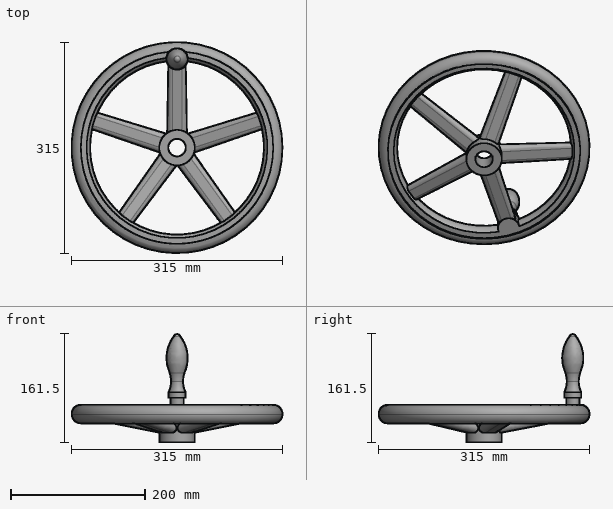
import cadquery as cq
import math

rim_radius = 157.5
rim_height = 28.0
recess_depth = 3.0
rim_bottom = 28.0
section_radius = rim_height / 2
section_centre_radius = rim_radius - section_radius
rim_middle = rim_bottom + section_radius
rim_top = rim_bottom + rim_height

hub_radius = 26.5
hub_height = 32.0
bore_radius = 13.0

spoke_count = 5
spoke_flat_width = 14.5
spoke_start = 15.8
spoke_end = 135.5
spoke_start_bottom = 12.3
spoke_start_height = 15.8
spoke_end_bottom = 35.3
spoke_end_height = 11.5

handle_y = 132.3
boss_radius = 16.0
shank_radius = 10.0
shank_length = 10.0
collar_radius = 13.0
collar_length = 8.5
neck_radius = 9.0
neck_height = 34.5
grip_start_radius = 11.3
grip_start_height = 48.0
widest_radius = 16.0
widest_height = 70.5
tip_radius = 4.7
tip_height = 102.5
handle_height = 105.5


def make_rim():
    ring = (
        cq.Workplane("XZ")
        .center(section_centre_radius, rim_middle)
        .circle(section_radius)
        .revolve(360, (-section_centre_radius, 0), (-section_centre_radius, 1))
    )
    recess = cq.Workplane("XY").circle(section_centre_radius).extrude(recess_depth)
    for recess_bottom in (rim_bottom, rim_top - recess_depth):
        ring = ring.cut(recess.translate((0, 0, recess_bottom)))
    return ring


def spoke_section(distance, bottom, height):
    """Upright slot-shaped wire at the given distance along +Y."""
    plane = cq.Plane(origin=(0, distance, bottom + height / 2), xDir=(1, 0, 0), normal=(0, -1, 0))
    return cq.Workplane(plane).slot2D(spoke_flat_width + height, height).wires().val()


def make_spoke():
    start = spoke_section(spoke_start, spoke_start_bottom, spoke_start_height)
    end = spoke_section(spoke_end, spoke_end_bottom, spoke_end_height)
    return cq.Workplane(obj=cq.Solid.makeLoft([start, end], True))


def make_handle():
    """Turned handle, with heights measured up from the top of the rim."""
    collar_top = shank_length + collar_length
    flare_height = neck_height - collar_top
    flare_width = collar_radius - neck_radius
    flare_radius = (flare_height**2 + flare_width**2) / (2 * flare_width)
    flare_half_angle = math.atan2(flare_width, flare_height)
    flare_middle = (
        neck_radius + flare_radius * (1 - math.cos(flare_half_angle)),
        neck_height - flare_radius * math.sin(flare_half_angle),
    )
    dome_rise = handle_height - tip_height
    dome_radius = (tip_radius**2 + dome_rise**2) / (2 * dome_rise)
    dome_half_angle = math.asin(tip_radius / dome_radius) / 2
    dome_middle = (
        dome_radius * math.sin(dome_half_angle),
        handle_height - dome_radius * (1 - math.cos(dome_half_angle)),
    )
    return (
        cq.Workplane("XZ", origin=(0, handle_y, rim_top))
        .lineTo(shank_radius, 0)
        .lineTo(shank_radius, shank_length)
        .lineTo(collar_radius, shank_length)
        .lineTo(collar_radius, collar_top)
        .threePointArc(flare_middle, (neck_radius, neck_height))
        .tangentArcPoint((grip_start_radius, grip_start_height), relative=False)
        .threePointArc((widest_radius, widest_height), (tip_radius, tip_height))
        .threePointArc(dome_middle, (0, handle_height))
        .close()
        .revolve(360, (0, 0), (0, 1))
    )


hub = cq.Workplane("XY").circle(hub_radius).extrude(hub_height)
bore = cq.Workplane("XY").circle(bore_radius).extrude(hub_height)
boss = (
    cq.Workplane("XY", origin=(0, handle_y, rim_bottom + recess_depth))
    .circle(boss_radius)
    .extrude(rim_height - recess_depth)
)

wheel = make_rim().union(hub).union(boss)
spoke = make_spoke()
for index in range(spoke_count):
    wheel = wheel.union(spoke.rotate((0, 0, 0), (0, 0, 1), index * 360 / spoke_count))

result = wheel.cut(bore).union(make_handle())